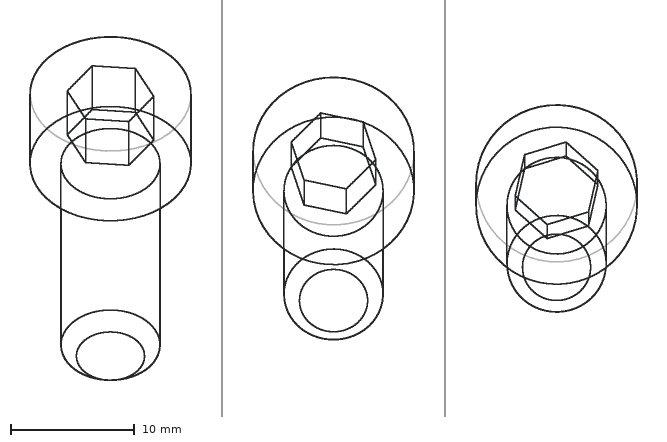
import cadquery as cq
import math

shank_diameter = 8.0
shank_length = 22.0
tip_chamfer = 1.25

head_diameter = 13.0
head_height = shank_diameter
head_edge_fillet = 0.03

socket_across_flats = 6.06
socket_depth = 5.0


def make_head():
    """Cylindrical head with a slightly broken top edge."""
    head = cq.Workplane("XY").circle(head_diameter / 2).extrude(head_height)
    return head.faces(">Z").edges().fillet(head_edge_fillet)


def make_shank():
    """Plain shank below the head, chamfered at the tip."""
    shank = cq.Workplane("XY").circle(shank_diameter / 2).extrude(-shank_length)
    return shank.faces("<Z").edges().chamfer(tip_chamfer)


def make_socket():
    """Hexagonal key socket with two corners in the XZ plane."""
    across_corners = socket_across_flats / math.cos(math.pi / 6)
    return (
        cq.Workplane("XY")
        .workplane(offset=head_height)
        .polygon(6, across_corners)
        .extrude(-socket_depth)
    )


result = make_head().union(make_shank()).cut(make_socket())